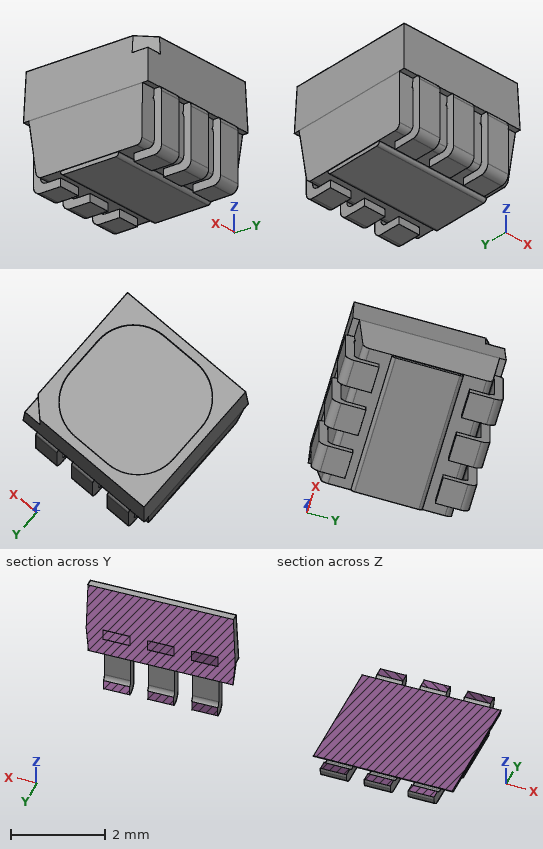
import cadquery as cq
import math

overall_length_y = 3.5
overall_height = 2.75

cap_width = 3.4
cap_height = 1.2
cap_draft = 2.0

base_length_y = 3.1
base_draft = 5.0
base_edge_radius = 0.15

pad_length_x = 3.135
pad_length_y = 1.582
pad_height = 0.1
pad_edge_radius = 0.08

window_width = 2.9
window_corner_radius = 1.0
window_depth = 0.018
window_draft = 25.0

mark_leg = 0.4
mark_depth = 0.4

leads_per_side = 3
lead_pitch = 1.0
lead_width = 0.6
lead_thickness = 0.2
foot_length = 0.75
lead_top_radius = 0.15
lead_top_inner_radius = 0.15
lead_sink = 0.05
lead_bottom_radius = 0.2
lead_bottom_inner_radius = 0.15

cap_bottom_z = overall_height - cap_height
base_bottom_z = lead_thickness
pad_bottom_z = base_bottom_z - pad_height
cap_top_width = cap_width - 2 * cap_height * math.tan(math.radians(cap_draft))
lead_outer_y = overall_length_y / 2
lead_top_z = cap_bottom_z + lead_sink
lead_inner_y = lead_outer_y - lead_thickness
diagonal_cosine = math.sqrt(0.5)


def base_profile(plane, top_width):
    """Closed trapezoid from the cap underside to the base underside, narrowing by the base draft."""
    inset = (cap_bottom_z - base_bottom_z) * math.tan(math.radians(base_draft))
    half_top = top_width / 2
    half_bottom = half_top - inset
    return cq.Workplane(plane).polyline([
        (-half_top, cap_bottom_z),
        (half_top, cap_bottom_z),
        (half_bottom, base_bottom_z),
        (-half_bottom, base_bottom_z),
    ]).close()


def make_cap():
    """Drafted cap with the corner mark and the window recess."""
    cap = (
        cq.Workplane("XY").workplane(offset=cap_bottom_z)
        .rect(cap_width, cap_width)
        .extrude(cap_height, taper=cap_draft)
    )
    corner = cap_width / 2
    diagonal_end = cap_top_width - mark_leg - corner
    mark = (
        cq.Workplane("XY").workplane(offset=overall_height - mark_depth)
        .polyline([(diagonal_end, corner), (corner, corner), (corner, diagonal_end)])
        .close()
        .extrude(mark_depth)
    )
    window = (
        cq.Workplane("XY").workplane(offset=overall_height)
        .sketch()
        .rect(window_width, window_width)
        .vertices().fillet(window_corner_radius)
        .finalize()
        .extrude(-window_depth, taper=window_draft)
    )
    return cap.cut(mark).cut(window)


def make_base():
    """Base drafted on all four sides and rounded along its lower Y edges, with the stand-off pad."""
    side_draft = base_profile("XZ", cap_width).extrude(base_length_y / 2, both=True)
    base = (
        base_profile("YZ", base_length_y)
        .extrude(cap_width / 2, both=True)
        .faces("<Z").edges("|X").fillet(base_edge_radius)
        .intersect(side_draft)
    )
    pad = (
        cq.Workplane("XY").workplane(offset=pad_bottom_z)
        .rect(pad_length_x, pad_length_y)
        .extrude(pad_height)
        .faces("<Z").edges("|X").fillet(pad_edge_radius)
    )
    return base.union(pad)


def arc_middle(center_y, center_z, radius, y_side, z_side):
    """Middle point of a quarter arc lying in the given quadrant about its centre."""
    return (center_y + y_side * radius * diagonal_cosine, center_z + z_side * radius * diagonal_cosine)


def make_lead(center_x):
    """C-shaped lead on the +Y side; its upper arm is sunk into the housing."""
    top_center = (lead_outer_y - lead_top_radius, lead_top_z - lead_top_radius)
    bottom_center = (lead_outer_y - lead_bottom_radius, lead_bottom_radius)
    foot_end_y = lead_outer_y - foot_length
    foot_inner_center = (
        lead_inner_y - lead_bottom_inner_radius,
        lead_thickness + lead_bottom_inner_radius,
    )
    arm_bottom_z = lead_top_z - lead_thickness
    arm_inner_center = (lead_inner_y - lead_top_inner_radius, arm_bottom_z - lead_top_inner_radius)
    return (
        cq.Workplane("YZ").workplane(offset=center_x)
        .moveTo(arm_inner_center[0], lead_top_z)
        .lineTo(top_center[0], lead_top_z)
        .threePointArc(arc_middle(*top_center, lead_top_radius, 1, 1), (lead_outer_y, top_center[1]))
        .lineTo(lead_outer_y, bottom_center[1])
        .threePointArc(arc_middle(*bottom_center, lead_bottom_radius, 1, -1), (bottom_center[0], 0))
        .lineTo(foot_end_y, 0)
        .lineTo(foot_end_y, lead_thickness)
        .lineTo(foot_inner_center[0], lead_thickness)
        .threePointArc(
            arc_middle(*foot_inner_center, lead_bottom_inner_radius, 1, -1),
            (lead_inner_y, foot_inner_center[1]),
        )
        .lineTo(lead_inner_y, arm_inner_center[1])
        .threePointArc(
            arc_middle(*arm_inner_center, lead_top_inner_radius, 1, 1),
            (arm_inner_center[0], arm_bottom_z),
        )
        .close()
        .extrude(lead_width / 2, both=True)
    )


leads = []
for index in range(leads_per_side):
    lead_x = (index - (leads_per_side - 1) / 2) * lead_pitch
    lead = make_lead(lead_x)
    leads.append(lead.val())
    leads.append(lead.mirror("XZ").val())

housing = make_cap().union(make_base())
for lead_solid in leads:
    housing = housing.cut(cq.Workplane(lead_solid))

result = cq.Compound.makeCompound([housing.val(), *leads])